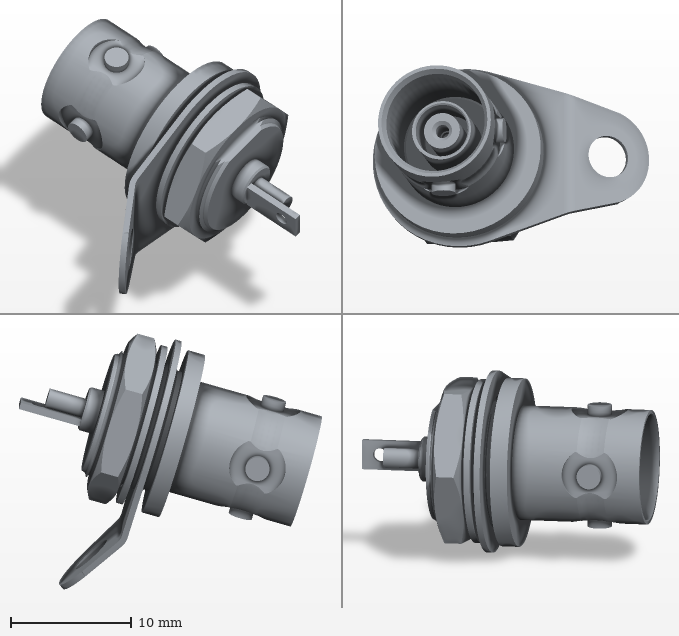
import cadquery as cq
import math


barrel_radius = 4.78
flange_start = 10.78
flange_thickness = 1.45
flange_end = flange_start + flange_thickness
flange_radius = 7.03
shell_length = 18.02

mouth_radius = 4.16
mouth_depth = 8.57
mouth_lead_in_radius = 4.48
mouth_lead_in_length = 0.51
mouth_floor_chamfer_width = 0.17
mouth_floor_chamfer_depth = 0.07
sleeve_radius = 2.5
sleeve_bore_radius = 2.2
sleeve_start = 3.28
sleeve_chamfer = 0.12

stud_count = 4
stud_x = 4.21
stud_radius = 1.0
stud_height = 5.17
seat_radius = 2.35
seat_height = 4.35
groove_width = 2.3
groove_bottom_radius = 4.6

neck_radius = 5.15
thread_radius = 5.49
first_crest_x = 12.8
last_crest_x = 17.5
crest_count = 14
thread_pitch = (last_crest_x - first_crest_x) / (crest_count - 1)
neck_end_chamfer_length = 0.25
neck_end_radius = 5.02
key_flat_height = 4.58

nose_radius = 1.52
core_start = 3.45
socket_mouth_radius = 0.85
socket_radius = 0.56
socket_depth = 2.45
pilot_radius = 0.45
pilot_depth = 2.95
pilot_tip_angle = 118.0
collar_start = 7.35
collar_chamfer = 0.1
shank_radius = 1.85
shank_end = 19.27
shank_chamfer = 0.15
tail_radius = 0.8
tail_end = 22.43
tab_end = 24.5
tab_thickness = 0.56
tab_width = 2.45
tab_front_y = -1.35
tab_hole_radius = 0.6
tab_hole_x = 22.97

tag_start = 12.98
tag_thickness = 0.51
tag_radius = 7.6
bend_start_y = -8.6
bend_outer_radius = 1.7
bend_angle = math.radians(31.5)
lug_shoulder_y = -12.98
lug_shoulder_half_width = 3.77
lug_tip_y = -15.13
lug_hole_y = -12.02
lug_hole_radius = 1.76

washer_start = 13.98
washer_thickness = 0.51
washer_radius = 6.83

nut_start = 14.8
nut_thickness = 2.38
nut_across_flats = 12.69
nut_corner_radius = nut_across_flats / math.sqrt(3)
nut_chamfer_length = 0.47

clearance = 12.25


def disc(radius, start, end):
    """Cylinder about the X axis between two x positions."""
    return cq.Workplane("YZ", origin=(start, 0, 0)).circle(radius).extrude(end - start)


def revolve_about_x(points):
    """Solid of revolution about X from a closed outline of (x, radius) points."""
    return cq.Workplane("XZ").polyline(points).close().revolve(360, (0, 0, 0), (1, 0, 0))


def plain_shell():
    """Barrel, flange and threaded neck as one turned solid."""
    thread_end = last_crest_x + thread_pitch / 2
    outline = [
        (0, 0),
        (0, barrel_radius),
        (flange_start, barrel_radius),
        (flange_start, flange_radius),
        (flange_end, flange_radius),
        (flange_end, neck_radius),
    ]
    for index in range(crest_count):
        crest_x = first_crest_x + index * thread_pitch
        outline.append((crest_x - thread_pitch / 2, neck_radius))
        outline.append((crest_x, thread_radius))
    outline += [
        (thread_end, neck_radius),
        (shell_length - neck_end_chamfer_length, neck_radius),
        (shell_length, neck_end_radius),
        (shell_length, 0),
    ]
    return revolve_about_x(outline)


def mouth_cavity():
    """Mouth space around and inside the sleeve, plus the bore that carries the core."""
    mouth = revolve_about_x([
        (0, 0),
        (0, mouth_lead_in_radius),
        (mouth_lead_in_length, mouth_radius),
        (mouth_depth + mouth_floor_chamfer_depth, mouth_radius),
        (mouth_depth, mouth_radius - mouth_floor_chamfer_width),
        (mouth_depth, 0),
    ])
    sleeve = revolve_about_x([
        (sleeve_start, sleeve_radius),
        (sleeve_start, sleeve_bore_radius + sleeve_chamfer),
        (sleeve_start + sleeve_chamfer, sleeve_bore_radius),
        (mouth_depth, sleeve_bore_radius),
        (mouth_depth, sleeve_radius),
    ])
    return mouth.cut(sleeve).union(disc(shank_radius, mouth_depth, shell_length))


def ring_groove():
    """Shallow arc-section groove around the barrel at the studs."""
    half_width = groove_width / 2
    return (
        cq.Workplane("XZ")
        .moveTo(stud_x - half_width, barrel_radius)
        .threePointArc((stud_x, groove_bottom_radius), (stud_x + half_width, barrel_radius))
        .close()
        .revolve(360, (0, 0, 0), (1, 0, 0))
    )


def add_studs(shell):
    """Cut a flat seat at each stud position and raise the stud from it."""
    seat = cq.Workplane("XY", origin=(stud_x, 0, seat_height)).circle(seat_radius).extrude(clearance)
    stud = (
        cq.Workplane("XY", origin=(stud_x, 0, seat_height))
        .circle(stud_radius)
        .extrude(stud_height - seat_height)
    )
    for index in range(stud_count):
        angle = index * 360 / stud_count
        shell = shell.cut(seat.rotate((0, 0, 0), (1, 0, 0), angle))
        shell = shell.union(stud.rotate((0, 0, 0), (1, 0, 0), angle))
    return shell


def make_shell():
    shell = plain_shell().cut(mouth_cavity()).cut(ring_groove())
    key_flat = cq.Workplane("XY").box(
        shell_length - flange_end, 2 * clearance, clearance, centered=(False, True, False)
    )
    shell = shell.cut(key_flat.translate((flange_end, 0, key_flat_height)))
    return add_studs(shell)


def make_core():
    nose = disc(nose_radius, core_start, collar_start)
    collar = disc(sleeve_bore_radius, collar_start, mouth_depth).faces("<X").chamfer(collar_chamfer)
    shank = disc(shank_radius, mouth_depth, shank_end).faces(">X").chamfer(shank_chamfer)
    tail = disc(tail_radius, shank_end, tail_end)
    tab = (
        cq.Workplane("XY")
        .box(tab_end - shank_end, tab_thickness, tab_width, centered=(False, False, True))
        .translate((shank_end, tab_front_y, 0))
    )
    tab_hole = (
        cq.Workplane("XZ").center(tab_hole_x, 0).circle(tab_hole_radius).extrude(clearance)
    )
    socket_mouth_depth = socket_mouth_radius - socket_radius
    pilot_tip_length = pilot_radius / math.tan(math.radians(pilot_tip_angle / 2))
    socket = revolve_about_x([
        (core_start, 0),
        (core_start, socket_mouth_radius),
        (core_start + socket_mouth_depth, socket_radius),
        (core_start + socket_depth, socket_radius),
        (core_start + socket_depth, pilot_radius),
        (core_start + pilot_depth, pilot_radius),
        (core_start + pilot_depth + pilot_tip_length, 0),
    ])
    terminal = tail.union(tab.cut(tab_hole))
    return nose.union(collar).union(shank).union(terminal).cut(socket)


def tag_strip():
    """Bent sheet profile in XY, full width in Z."""
    inner_radius = bend_outer_radius - tag_thickness
    center_x = tag_start + bend_outer_radius

    def bend_point(radius, angle):
        return (center_x - radius * math.cos(angle), bend_start_y - radius * math.sin(angle))

    outer_end = bend_point(bend_outer_radius, bend_angle)
    inner_end = bend_point(inner_radius, bend_angle)
    lug_length = (outer_end[1] - lug_tip_y) / math.cos(bend_angle)
    lug_x = lug_length * math.sin(bend_angle)
    lug_y = -lug_length * math.cos(bend_angle)
    return (
        cq.Workplane("XY")
        .moveTo(tag_start, tag_radius)
        .lineTo(tag_start, bend_start_y)
        .threePointArc(bend_point(bend_outer_radius, bend_angle / 2), outer_end)
        .line(lug_x, lug_y)
        .lineTo(inner_end[0] + lug_x, inner_end[1] + lug_y)
        .lineTo(*inner_end)
        .threePointArc(
            bend_point(inner_radius, bend_angle / 2), (tag_start + tag_thickness, bend_start_y)
        )
        .lineTo(tag_start + tag_thickness, tag_radius)
        .close()
        .extrude(tag_radius, both=True)
    )


def tag_outline():
    """Round plate with straight sides that run tangent from it past the lug shoulders."""
    shoulder_distance = math.hypot(lug_shoulder_y, lug_shoulder_half_width)
    shoulder_angle = math.atan2(lug_shoulder_half_width, -lug_shoulder_y)
    tangent_angle = shoulder_angle + math.acos(tag_radius / shoulder_distance)
    tangent_y = -tag_radius * math.cos(tangent_angle)
    tangent_z = tag_radius * math.sin(tangent_angle)
    tip_half_width = lug_shoulder_half_width + (lug_tip_y - lug_shoulder_y) / math.tan(tangent_angle)
    return (
        cq.Workplane("YZ")
        .moveTo(tangent_y, tangent_z)
        .threePointArc((tag_radius, 0), (tangent_y, -tangent_z))
        .lineTo(lug_tip_y, -tip_half_width)
        .lineTo(lug_tip_y, tip_half_width)
        .close()
        .extrude(tab_end)
    )


def lug_plane():
    """Plane on the -X face of the bent lug: local x runs toward the tip, local y along Z."""
    along = cq.Vector(math.sin(bend_angle), -math.cos(bend_angle), 0)
    bend_end_x = tag_start + bend_outer_radius * (1 - math.cos(bend_angle))
    bend_end_y = bend_start_y - bend_outer_radius * math.sin(bend_angle)
    to_hole = (bend_end_y - lug_hole_y) / math.cos(bend_angle)
    origin = cq.Vector(bend_end_x, bend_end_y, 0) + along * to_hole
    normal = along.cross(cq.Vector(0, 0, 1))
    return cq.Plane(origin=origin, xDir=along, normal=normal)


def lug_tip_trim():
    """Space that the tag may fill: open toward the plate, closed by the rounded lug tip."""
    shoulder = (lug_hole_y - lug_shoulder_y) / math.cos(bend_angle)
    tip = (lug_hole_y - lug_tip_y) / math.cos(bend_angle)
    reach = 2 * clearance
    flare = shoulder - (clearance - lug_shoulder_half_width)
    return (
        cq.Workplane(lug_plane())
        .moveTo(-reach, clearance)
        .lineTo(flare, clearance)
        .lineTo(shoulder, lug_shoulder_half_width)
        .threePointArc((tip, 0), (shoulder, -lug_shoulder_half_width))
        .lineTo(flare, -clearance)
        .lineTo(-reach, -clearance)
        .close()
        .extrude(reach, both=True)
    )


def make_solder_tag():
    tag = tag_strip().intersect(tag_outline()).intersect(lug_tip_trim())
    lug_hole = cq.Workplane(lug_plane()).circle(lug_hole_radius).extrude(2 * tag_thickness, both=True)
    return tag.cut(lug_hole).cut(disc(thread_radius, 0, tag_start + tag_thickness))


def make_lock_washer():
    washer_end = washer_start + washer_thickness
    return disc(washer_radius, washer_start, washer_end).cut(
        disc(thread_radius, washer_start, washer_end)
    )


def make_nut():
    """Hexagon with corners at +Y and -Y, its corners chamfered on both faces."""
    nut_end = nut_start + nut_thickness
    hexagon = (
        cq.Workplane("YZ", origin=(nut_start, 0, 0))
        .polygon(6, 2 * nut_corner_radius)
        .extrude(nut_thickness)
    )
    chamfer_radius = nut_across_flats / 2
    chamfer_envelope = revolve_about_x([
        (nut_start, 0),
        (nut_start, chamfer_radius),
        (nut_start + nut_chamfer_length, nut_corner_radius),
        (nut_end - nut_chamfer_length, nut_corner_radius),
        (nut_end, chamfer_radius),
        (nut_end, 0),
    ])
    return hexagon.intersect(chamfer_envelope).cut(disc(thread_radius, nut_start, nut_end))


shell = make_shell()
core = make_core()
solder_tag = make_solder_tag()
lock_washer = make_lock_washer()
nut = make_nut()

result = cq.Compound.makeCompound([
    shell.solids().val(),
    core.solids().val(),
    solder_tag.solids().val(),
    lock_washer.solids().val(),
    nut.solids().val(),
])